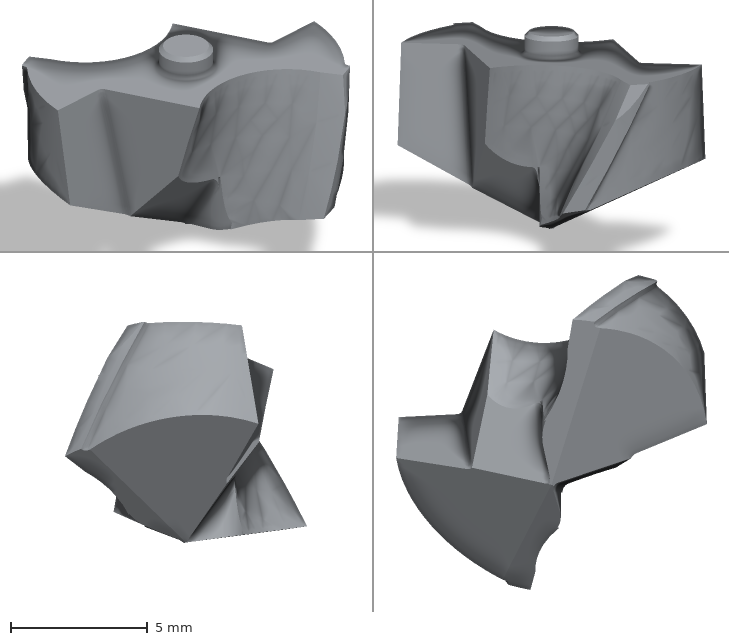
import cadquery as cq
import math

MARGIN_RADIUS = 6.0
BODY_RADIUS = 5.76
POINT_DEPTH = 6.58
BLANK_DEPTH = 6.72
OVERSIZE = 24.0

TWIST_PER_UNIT = 5.583
TWIST = TWIST_PER_UNIT * BLANK_DEPTH

FLUTE_RADIUS = 3.22
FLUTE_X = 4.74
FLUTE_Y = -1.8
FLUTE_LIP_SLOPE = 0.15
MARGIN_START = 5.0
MARGIN_END = 22.5
MARGIN_FOOT = 24.0
MARGIN_FOOT_RADIUS = 5.82
MARGIN_STEP_RADIUS = 5.85
SLOT_WALL_ANGLE = 64.0

CORNER_X = 5.58
CORNER_RISE = 3.1
CORNER_DEPTH = 10.5

SLOT_Y = 2.76
SLOT_CORNER_X = 2.23
SLOT_WALL_SLOPE = 0.39
SLOT_LEAN = 0.2
SLOT_TAPER = 0.01
SLOT_FILLET = 0.2

LIP_SLOPE = 0.35
PRIMARY_RELIEF = 0.08
SECONDARY_RELIEF = 0.39

GASH_SLOPE_X = 1.09
GASH_SLOPE_Y = -0.97
GASH_WALL = (14.0, -8.0)
GASH_FILLET = 0.3
GASH_RUNOUT_START = 1.5
GASH_RUNOUT_RADIUS = 1.44
GASH_RUNOUT_TURN = 37.0

PIN_RADIUS = 1.0
PIN_HEIGHT = 0.84
PIN_EDGE = 0.15

TIP = (0, 0, -POINT_DEPTH)


def polar(radius, degrees):
    angle = math.radians(degrees)
    return (radius * math.cos(angle), radius * math.sin(angle))


def half_turn(shape):
    return shape.rotate((0, 0, 0), (0, 0, 1), 180)


def half_space(origin, normal):
    """Large block on the side of a plane that its normal points to."""
    plane = cq.Plane(origin=origin, normal=normal)
    return cq.Workplane(plane).rect(OVERSIZE, OVERSIZE).extrude(OVERSIZE)


def below_slope(slope_x, slope_y):
    """Space under a sloping plane through the tip."""
    return half_space(TIP, (slope_x, slope_y, -1))


def helical(draw_section):
    """Twist a section so that it reaches its drawn position at Z = 0."""
    start = cq.Workplane("XY", origin=(0, 0, -BLANK_DEPTH)).transformed(rotate=(0, 0, -TWIST))
    return draw_section(start).twistExtrude(BLANK_DEPTH, TWIST)


def body_section(work):
    step_angle = (MARGIN_END + MARGIN_FOOT) / 2
    outline = work.moveTo(*polar(MARGIN_RADIUS, MARGIN_START))
    for turn in (0, 180):
        margin_middle = turn + (MARGIN_START + MARGIN_END) / 2
        next_start = turn + 180 + MARGIN_START
        step_middle = polar(MARGIN_STEP_RADIUS, turn + step_angle)
        slot_point = polar(BODY_RADIUS, turn + SLOT_WALL_ANGLE)
        outline = (
            outline
            .threePointArc(polar(MARGIN_RADIUS, margin_middle), polar(MARGIN_RADIUS, turn + MARGIN_END))
            .threePointArc(step_middle, polar(MARGIN_FOOT_RADIUS, turn + MARGIN_FOOT))
            .threePointArc(slot_point, polar(BODY_RADIUS, next_start))
            .lineTo(*polar(MARGIN_RADIUS, next_start))
        )
    return outline.close()


def flute_section(work):
    reach = OVERSIZE / 2
    lip_y = FLUTE_Y + FLUTE_RADIUS + FLUTE_LIP_SLOPE * (reach - FLUTE_X)
    return (
        work.moveTo(FLUTE_X, FLUTE_Y + FLUTE_RADIUS)
        .threePointArc((FLUTE_X - FLUTE_RADIUS, FLUTE_Y), (FLUTE_X, FLUTE_Y - FLUTE_RADIUS))
        .lineTo(reach, FLUTE_Y - FLUTE_RADIUS)
        .lineTo(reach, lip_y)
        .close()
    )


def slot_tool():
    """Leaning prism on the +Y side, with its inner corner rounded."""
    reach = OVERSIZE / 2

    def section(work, depth):
        corner_x = SLOT_CORNER_X - SLOT_LEAN * depth
        corner_y = SLOT_Y - SLOT_TAPER * depth
        return work.polyline([
            (corner_x, corner_y),
            (corner_x + SLOT_WALL_SLOPE * reach, corner_y + reach),
            (-reach, corner_y + reach),
            (-reach, corner_y),
        ]).close()

    bottom = cq.Workplane("XY", origin=(0, 0, -BLANK_DEPTH))
    lower = section(bottom, BLANK_DEPTH)
    prism = section(lower.workplane(offset=BLANK_DEPTH), 0).loft(ruled=True)
    half_depth = BLANK_DEPTH / 2
    corner = (SLOT_CORNER_X - SLOT_LEAN * half_depth, SLOT_Y - SLOT_TAPER * half_depth, -half_depth)
    return prism.edges(cq.selectors.NearestToPointSelector(corner)).fillet(SLOT_FILLET)


def gash_tool():
    """Wedge on the -Y side of the upright wall, rounded along its root."""
    wall_x, wall_y = GASH_WALL
    beside_wall = half_space(TIP, (wall_y, -wall_x, 0))
    wedge = below_slope(GASH_SLOPE_X, GASH_SLOPE_Y).intersect(beside_wall)
    return wedge.edges(cq.selectors.NearestToPointSelector(TIP)).fillet(GASH_FILLET)


def gash_runout_tool():
    """Upright sliver that curves the gash wall tangentially into the flute."""
    wall_x, wall_y = GASH_WALL
    turn = math.radians(GASH_RUNOUT_TURN)
    chord = GASH_RUNOUT_RADIUS * math.sin(turn)
    rise = GASH_RUNOUT_RADIUS * (1 - math.cos(turn))
    half_chord = GASH_RUNOUT_RADIUS * math.sin(turn / 2)
    half_rise = GASH_RUNOUT_RADIUS * (1 - math.cos(turn / 2))
    along_wall = cq.Plane(origin=(0, 0, -BLANK_DEPTH), xDir=(wall_x, wall_y, 0), normal=(0, 0, 1))
    sliver = (
        cq.Workplane(along_wall)
        .moveTo(GASH_RUNOUT_START, 0)
        .threePointArc((GASH_RUNOUT_START + half_chord, half_rise), (GASH_RUNOUT_START + chord, rise))
        .lineTo(GASH_RUNOUT_START + chord, 0)
        .close()
        .extrude(BLANK_DEPTH)
    )
    return sliver.intersect(below_slope(GASH_SLOPE_X, GASH_SLOPE_Y))


def point_tool():
    """Space under the primary and secondary relief faces of the +X lip."""
    primary = below_slope(LIP_SLOPE, PRIMARY_RELIEF)
    secondary = below_slope(LIP_SLOPE, SECONDARY_RELIEF)
    return primary.union(secondary).intersect(half_space(TIP, (1, 0, 0)))


def corner_tool():
    return half_space((CORNER_X, 0, 0), (CORNER_DEPTH, 0, CORNER_RISE))


def pin():
    """Chamfered pin with a concave fillet where it meets the back face."""
    fillet_middle = PIN_EDGE * (1 - math.sqrt(0.5))
    return (
        cq.Workplane("XZ")
        .moveTo(0, 0)
        .lineTo(PIN_RADIUS + PIN_EDGE, 0)
        .threePointArc((PIN_RADIUS + fillet_middle, fillet_middle), (PIN_RADIUS, PIN_EDGE))
        .lineTo(PIN_RADIUS, PIN_HEIGHT - PIN_EDGE)
        .lineTo(PIN_RADIUS - PIN_EDGE, PIN_HEIGHT)
        .lineTo(0, PIN_HEIGHT)
        .close()
        .revolve(360, (0, 0), (0, 1))
    )


body = helical(body_section)
cutting_tools = (
    helical(flute_section),
    slot_tool(),
    point_tool(),
    gash_tool(),
    gash_runout_tool(),
    corner_tool(),
)
for tool in cutting_tools:
    body = body.cut(tool).cut(half_turn(tool))

result = body.union(pin())